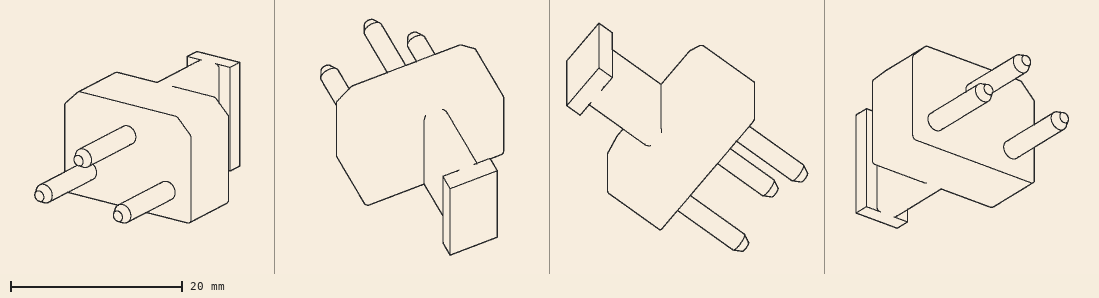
import cadquery as cq

width = 18.0
height = 13.0
total_length = 28.4
edge_radius = 0.5

pin_length = 10.0
body_depth = 8.0
cap_depth = 2.0
neck_length = total_length - pin_length - body_depth - cap_depth

corner_chamfer = 2.0
neck_width = 3.0
cap_width = 6.1

pin_diameter = 2.3
tip_diameter = 1.3
tip_length = 1.0
pin_spacing = 5.6
upper_pin_z = 9.12
lower_pin_z = 3.4
pin_positions = [
    (-pin_spacing, lower_pin_z),
    (0, upper_pin_z),
    (pin_spacing, lower_pin_z),
]


def block(block_width, y_start, depth):
    """Full-height block centred on X, resting on Z = 0."""
    return cq.Workplane("XY").box(
        block_width, depth, height, centered=(True, False, False)
    ).translate((0, y_start, 0))


def make_body():
    """Body with chamfered upper corners, rounded except around the pin face."""
    body = block(width, 0, body_depth)
    body = body.edges("|Y and >Z").chamfer(corner_chamfer)
    return body.edges("|Y or >Y").fillet(edge_radius)


def make_neck():
    """Rounded neck, sunk into the body so that their roundings meet in mitres."""
    overlap = body_depth / 2
    neck = block(neck_width, body_depth - overlap, neck_length + overlap)
    return neck.edges("|Y").fillet(edge_radius)


def make_pin(x, z):
    """Round pin reaching from the body face to its tapered tip."""
    pin_radius = pin_diameter / 2
    tip_radius = tip_diameter / 2
    half_profile = (
        cq.Workplane("XY")
        .polyline([
            (0, 0),
            (pin_radius, 0),
            (pin_radius, tip_length - pin_length),
            (tip_radius, -pin_length),
            (0, -pin_length),
        ])
        .close()
    )
    return half_profile.revolve(360, (0, 0, 0), (0, 1, 0)).translate((x, 0, z))


cap = block(cap_width, body_depth + neck_length, cap_depth)
result = make_body().union(make_neck()).union(cap)
for pin_x, pin_z in pin_positions:
    result = result.union(make_pin(pin_x, pin_z))